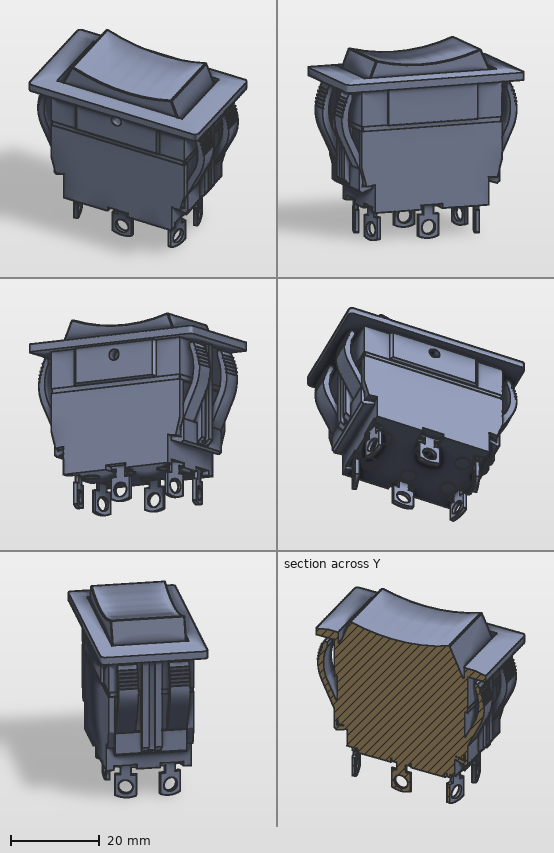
import cadquery as cq
import math


BEZEL_X, BEZEL_Y = 43.2, 24.5
BEZEL_RIM_Z = 1.75
BEZEL_TOP_Z = 2.38
BEZEL_SLOPE = 3.0
BEZEL_CORNER_R = 1.0
OPENING_X, OPENING_Y = 31.92, 17.63
OPENING_FLOOR_Z = -0.5

ROCKER_Y = 17.0
ROCKER_BASE_LEFT, ROCKER_BASE_RIGHT = -15.8, 15.65
ROCKER_PEAK_LEFT = (-12.35, 7.13)
ROCKER_VALLEY = (1.3, 4.62)
ROCKER_PEAK_RIGHT = (13.0, 6.18)
ROCKER_CHAMFER = 0.2

HOUSING_X, HOUSING_Y = 34.05, 19.53
HALF_X, HALF_Y = HOUSING_X / 2, HOUSING_Y / 2
FOOT_HALF_X = 13.8
HOUSING_BOTTOM_Z = -28.5
TAPER_START_Z = -18.15
TAPER_END = (15.85, -22.35)
FOOT_TOP_Z = -22.08
GROOVE_TOP_Z, GROOVE_BOTTOM_Z = -8.5, -9.6
GROOVE_DEPTH = 0.1
GROOVE_CORNER = 0.2

PANEL_X = 21.6
PANEL_OUT = 0.65
PANEL_BEVEL = 0.48
PANEL_BEVEL_X = 0.65
PIVOT_D = 2.5
PIVOT_Z = -2.45
PIVOT_DEPTH = 2.15
PIVOT_BEVEL_Z = -3.05

RIDGE_Y = 4.55
RIDGE_OUT = 1.25
RIDGE_BOTTOM_Z = -23.05
RIDGE_CHAMFER_Z = -21.8
RIDGE_GROOVE_Y = 1.43
RIDGE_GROOVE_DEPTH = 0.9

CLIP_Y = 16.37
CLIP_GAP = 0.15
CLIP_THICKNESS = 0.78
ARM_Y = 4.55
ARM_REACH = 21.25
ARM_BOW_Z = -6.9
ARM_OUTER_R = 11.65
ARM_BOW_END_Z = -12.45
ARM_BOW_INNER = (-19.65, -6.8)
ARM_BOW_INNER_END = (-19.0, -10.6)
ARM_ROOT_TOP_Z = -16.35
ARM_TIP_X = -18.7
ARM_TIP_THICKNESS = 0.85
ARM_TOP_Z, ARM_TIP_END_Z = -1.1, -2.35
ARM_SHOULDER_X = -20.05
STEP_COUNT = 6
STEP_TOP_Z, STEP_LOWEST_Z = -2.15, -6.35
STEP_PITCH = (STEP_TOP_Z - STEP_LOWEST_Z) / (STEP_COUNT - 1)
STEP_UNDERCUT = 0.17
PLATE_TOP_Z = -18.45
HOOK_INNER_Z = -22.6
HOOK_END_Z = -23.1
HOOK_TIP = (-16.4, -23.98)
HOOK_OUTER_Z = -23.45

TERMINAL_W = 4.85
TERMINAL_T = 0.85
TERMINAL_HEAD_TOP_Z, TERMINAL_HEAD_BOTTOM_Z = -27.48, -28.2
TERMINAL_NECK_W = 2.35
TERMINAL_BLADE_TOP_Z = -30.05
TERMINAL_CORNER_Z = -35.0
TERMINAL_TIP_Z = -35.55
TERMINAL_HOLE_D = 3.3
TERMINAL_HOLE_Z = -33.0
POCKET_W = 5.2
POCKET_BEHIND = 0.45
POCKET_OVERRUN = 0.45
CENTER_TERMINAL_Y = 7.3
END_TERMINAL_X, END_TERMINAL_Y = 12.6, 5.05
END_TERMINAL_TURN = 15.0

PAD_D = 3.5
PAD_HEIGHT = 0.17
PAD_X, PAD_Y = 9.65, 4.25


def block(x_size, y_size, z_low, z_high):
    """Box centred on the Z axis between two heights."""
    return cq.Workplane("XY").workplane(offset=z_low).rect(x_size, y_size).extrude(z_high - z_low)


def xz_prism(outline, y_low, y_high):
    """Extrude a closed XZ outline between two Y positions."""
    return outline.extrude(-(y_high - y_low)).translate((0, y_low, 0))


def both_ends(solid):
    """The solid together with its mirror image across the YZ plane."""
    return solid.union(solid.mirror("YZ"))


def make_bezel():
    rim = block(BEZEL_X, BEZEL_Y, 0, BEZEL_TOP_Z).edges("|Z").fillet(BEZEL_CORNER_R)
    slope = (
        cq.Workplane("XY").workplane(offset=BEZEL_RIM_Z).rect(BEZEL_X, BEZEL_Y)
        .workplane(offset=BEZEL_TOP_Z - BEZEL_RIM_Z)
        .rect(BEZEL_X - 2 * BEZEL_SLOPE, BEZEL_Y - 2 * BEZEL_SLOPE)
        .loft(ruled=True)
    )
    return rim.intersect(block(BEZEL_X, BEZEL_Y, 0, BEZEL_RIM_Z).union(slope))


def make_rocker():
    outline = (
        cq.Workplane("XZ").moveTo(ROCKER_BASE_LEFT, OPENING_FLOOR_Z)
        .lineTo(*ROCKER_PEAK_LEFT)
        .threePointArc(ROCKER_VALLEY, ROCKER_PEAK_RIGHT)
        .lineTo(ROCKER_BASE_RIGHT, OPENING_FLOOR_Z)
        .close()
    )
    rocker = xz_prism(outline, -ROCKER_Y / 2, ROCKER_Y / 2)
    return rocker.faces("not <Z").edges("not <Z").chamfer(ROCKER_CHAMFER)


def make_housing():
    outline = (
        cq.Workplane("XZ")
        .polyline([
            (-HALF_X, 0), (HALF_X, 0), (HALF_X, TAPER_START_Z), TAPER_END,
            (FOOT_HALF_X, FOOT_TOP_Z), (FOOT_HALF_X, HOUSING_BOTTOM_Z),
            (-FOOT_HALF_X, HOUSING_BOTTOM_Z), (-FOOT_HALF_X, FOOT_TOP_Z),
            (-TAPER_END[0], TAPER_END[1]), (-HALF_X, TAPER_START_Z),
        ])
        .close()
    )
    housing = xz_prism(outline, -HALF_Y, HALF_Y)
    core = block(
        HOUSING_X - 2 * GROOVE_DEPTH, HOUSING_Y - 2 * GROOVE_DEPTH, GROOVE_BOTTOM_Z, GROOVE_TOP_Z
    )
    core = core.edges("|Z").chamfer(GROOVE_CORNER)
    return housing.cut(block(HOUSING_X, HOUSING_Y, GROOVE_BOTTOM_Z, GROOVE_TOP_Z)).union(core)


def make_front_panel():
    """Panel on the -Y side, bevelled along its ends and bottom."""
    half_x = PANEL_X / 2
    outer_y = -HALF_Y - PANEL_OUT
    bevel_y = outer_y + PANEL_BEVEL
    across = (
        cq.Workplane("XY").workplane(offset=GROOVE_TOP_Z)
        .polyline([
            (-half_x, 0), (-half_x, bevel_y), (PANEL_BEVEL_X - half_x, outer_y),
            (half_x - PANEL_BEVEL_X, outer_y), (half_x, bevel_y), (half_x, 0),
        ])
        .close().extrude(-GROOVE_TOP_Z)
    )
    upright = (
        cq.Workplane("YZ").workplane(offset=-half_x)
        .polyline([
            (-HALF_Y, 0), (outer_y, 0), (outer_y, GROOVE_TOP_Z + PANEL_BEVEL),
            (bevel_y, GROOVE_TOP_Z), (-HALF_Y, GROOVE_TOP_Z),
        ])
        .close().extrude(PANEL_X)
    )
    return across.intersect(upright)


def make_rear_panel():
    panel = block(PANEL_X, PANEL_OUT, GROOVE_TOP_Z, 0)
    return panel.translate((0, HALF_Y + PANEL_OUT / 2, 0))


def make_pivot_hole():
    """Blind hole whose end wall slopes inward below a horizontal line."""
    outer_y = -HALF_Y - PANEL_OUT
    end_y = outer_y + PIVOT_DEPTH
    low_z = PIVOT_Z - PIVOT_D / 2
    bevel = PIVOT_BEVEL_Z - low_z
    reach = (
        cq.Workplane("YZ").workplane(offset=-PIVOT_D / 2)
        .polyline([
            (outer_y, low_z), (outer_y, 0), (end_y, 0),
            (end_y, PIVOT_BEVEL_Z), (end_y + bevel, low_z),
        ])
        .close().extrude(PIVOT_D)
    )
    bore = cq.Workplane("XZ").center(0, PIVOT_Z).circle(PIVOT_D / 2).extrude(HOUSING_Y)
    return bore.intersect(reach)


def make_ridge():
    """Grooved guide ridge on the -X end."""
    outer_x = -HALF_X - RIDGE_OUT
    inner_x = CLIP_THICKNESS - HALF_X
    outline = (
        cq.Workplane("XZ")
        .polyline([
            (inner_x, 0), (outer_x, 0), (outer_x, RIDGE_CHAMFER_Z),
            (-HALF_X, RIDGE_BOTTOM_Z), (inner_x, RIDGE_BOTTOM_Z),
        ])
        .close()
    )
    ridge = xz_prism(outline, -RIDGE_Y / 2, RIDGE_Y / 2)
    groove = block(RIDGE_GROOVE_DEPTH, RIDGE_GROOVE_Y, RIDGE_BOTTOM_Z, 0)
    return ridge.cut(groove.translate((outer_x + RIDGE_GROOVE_DEPTH / 2, 0, 0)))


def make_clip_recess():
    """Shallow recess in the -X end that holds the clip plate."""
    recess = block(CLIP_THICKNESS, CLIP_Y + 2 * CLIP_GAP, FOOT_TOP_Z, GROOVE_BOTTOM_Z)
    return recess.translate((CLIP_THICKNESS / 2 - HALF_X, 0, 0))


def make_clip_plate():
    """Clip plate on the -X end with its lower hook turned in to the foot."""
    inner_x = CLIP_THICKNESS - HALF_X
    outline = (
        cq.Workplane("XZ")
        .polyline([
            (-HALF_X, PLATE_TOP_Z), (inner_x, PLATE_TOP_Z), (inner_x, HOOK_INNER_Z),
            (-FOOT_HALF_X, FOOT_TOP_Z), (-FOOT_HALF_X, HOOK_END_Z), HOOK_TIP,
            (-HALF_X, HOOK_OUTER_Z),
        ])
        .close()
    )
    return xz_prism(outline, -CLIP_Y / 2, CLIP_Y / 2)


def arm_outer_x(z):
    """X of the bowed outer face of a clip arm."""
    return -ARM_REACH + ARM_OUTER_R - math.sqrt(ARM_OUTER_R**2 - (z - ARM_BOW_Z) ** 2)


def make_clip_arm():
    """Bowed arm on the -X end; its upper outer face is stepped for grip."""
    root_x = CLIP_THICKNESS - HALF_X
    arm = (
        cq.Workplane("XZ").moveTo(root_x, PLATE_TOP_Z)
        .lineTo(-HALF_X, PLATE_TOP_Z)
        .lineTo(arm_outer_x(ARM_BOW_END_Z), ARM_BOW_END_Z)
        .threePointArc((-ARM_REACH, ARM_BOW_Z), (arm_outer_x(STEP_LOWEST_Z), STEP_LOWEST_Z))
    )
    for i in range(STEP_COUNT - 1):
        ledge_z = STEP_LOWEST_Z + STEP_PITCH * i
        next_z = ledge_z + STEP_PITCH
        next_x = arm_outer_x(next_z)
        arm = arm.lineTo(next_x + STEP_UNDERCUT, ledge_z).lineTo(next_x, next_z)
    arm = (
        arm.lineTo(ARM_SHOULDER_X, STEP_TOP_Z)
        .lineTo(ARM_TIP_X - ARM_TIP_THICKNESS, ARM_TOP_Z)
        .lineTo(ARM_TIP_X, ARM_TOP_Z)
        .lineTo(ARM_TIP_X, ARM_TIP_END_Z)
        .threePointArc(ARM_BOW_INNER, ARM_BOW_INNER_END)
        .lineTo(root_x, ARM_ROOT_TOP_Z)
        .close()
    )
    return xz_prism(arm, -ARM_Y / 2, ARM_Y / 2)


def make_terminal():
    """Solder terminal standing in the XZ plane, centred on the Z axis."""
    half_w = TERMINAL_W / 2
    head = block(TERMINAL_W, TERMINAL_T, TERMINAL_HEAD_BOTTOM_Z, TERMINAL_HEAD_TOP_Z)
    neck = block(TERMINAL_NECK_W, TERMINAL_T, TERMINAL_BLADE_TOP_Z, TERMINAL_HEAD_TOP_Z)
    outline = (
        cq.Workplane("XZ").moveTo(-half_w, TERMINAL_BLADE_TOP_Z)
        .lineTo(-half_w, TERMINAL_CORNER_Z)
        .threePointArc((0, TERMINAL_TIP_Z), (half_w, TERMINAL_CORNER_Z))
        .lineTo(half_w, TERMINAL_BLADE_TOP_Z)
        .close()
    )
    blade = xz_prism(outline, -TERMINAL_T / 2, TERMINAL_T / 2)
    hole = (
        cq.Workplane("XZ").center(0, TERMINAL_HOLE_Z).circle(TERMINAL_HOLE_D / 2)
        .extrude(TERMINAL_T, both=True)
    )
    return head.union(neck).union(blade).cut(hole)


def make_terminal_pocket():
    """Pocket around a terminal head, open downward and toward -Y."""
    inner_y = TERMINAL_T / 2 + POCKET_BEHIND
    depth = inner_y + HALF_Y - CENTER_TERMINAL_Y + POCKET_OVERRUN
    pocket = block(POCKET_W, depth, HOUSING_BOTTOM_Z, TERMINAL_HEAD_TOP_Z)
    return pocket.translate((0, inner_y - depth / 2, 0))


def at_terminals(solid):
    """Copies of a -Y facing solid, turned outward at all six terminals."""
    places = []
    for side in (-1, 1):
        places.append((0, side * CENTER_TERMINAL_Y, 90 + side * 90))
        for end in (-1, 1):
            turn = end * (90 + side * END_TERMINAL_TURN)
            places.append((end * END_TERMINAL_X, side * END_TERMINAL_Y, turn))
    return [
        solid.rotate((0, 0, 0), (0, 0, 1), turn).translate((x, y, 0))
        for x, y, turn in places
    ]


result = make_housing().cut(both_ends(make_clip_recess()))
result = result.union(make_front_panel()).union(make_rear_panel()).union(make_bezel())
result = result.cut(block(OPENING_X, OPENING_Y, OPENING_FLOOR_Z, BEZEL_TOP_Z))
result = result.union(make_rocker()).cut(make_pivot_hole())

result = result.union(both_ends(make_ridge())).union(both_ends(make_clip_plate()))
arm_y = (CLIP_Y - ARM_Y) / 2
for y in (-arm_y, arm_y):
    result = result.union(both_ends(make_clip_arm().translate((0, y, 0))))

pad = cq.Workplane("XY").workplane(offset=HOUSING_BOTTOM_Z).circle(PAD_D / 2).extrude(-PAD_HEIGHT)
for x in (-PAD_X, 0, PAD_X):
    for y in (-PAD_Y, PAD_Y):
        result = result.union(pad.translate((x, y, 0)))
for pocket in at_terminals(make_terminal_pocket()):
    result = result.cut(pocket)
for terminal in at_terminals(make_terminal()):
    result = result.union(terminal)